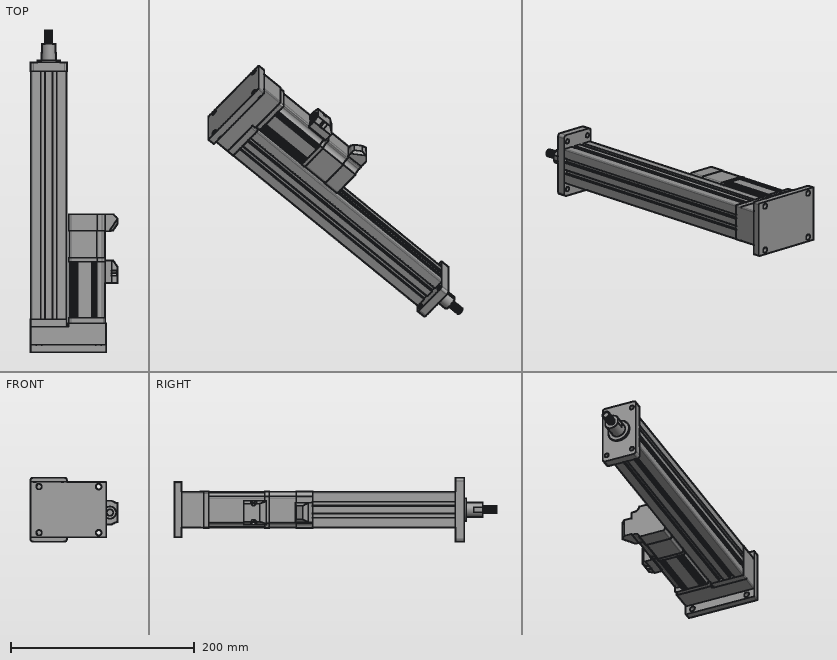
import cadquery as cq
import math


total_length = 351.0
plate_thickness = 8.0
cap_start = 28.0
gear_face = 32.0
body_start = 36.0
flange_back = 306.0
flange_front = 316.0
collar_front = 318.0
rod_front = 336.0

body_width = 39.3
cap_width = 39.5
flange_width = 40.0
flange_height = 70.0
flange_corner_radius = 3.0
flange_hole_x = 15.0
flange_hole_z = 27.5
flange_hole_diameter = 5.0
edge_radius = 1.0
groove_inner = 4.0
groove_outer = 8.8
groove_depth = 3.0
groove_lip = 0.7
collar_diameter = 25.0
rod_diameter = 16.0
rod_across_flats = 15.0
rod_flat_length = 10.0
thread_diameter = 8.0
thread_depth = 0.7
thread_count = 12

housing_left = -flange_width / 2
plate_width = 83.0
plate_height = 60.5
plate_hole_diameter = 6.0
plate_hole_spacing_x = 65.0
plate_hole_spacing_z = 50.2
plate_hole_inset = 9.5
housing_width = 82.5
step_x = 21.5

motor_center_x = 41.8
motor_width = 40.0
motor_edge_radius = 2.0
motor_flange_end = 37.5
fin_end = 98.5
band_end = 103.2
encoder_start = 132.7
motor_end = 150.5
section_inset = 0.5
cove_radius = 5.3
cove_end_x = 58.0
ledge_edge_radius = 1.5
fin_groove_width = 1.0
fin_groove_pitch = 2.0
fin_groove_depth = 1.0
fin_bank_starts = (24.2, 47.0)
fin_grooves_per_bank = 4

connector_root_x = 59.5
connector_tip_x = 75.0
connector_shoulder_x = 70.2
power_side_slope_x = 68.5
connector_z = -3.0
power_start = 75.5
power_end = 100.0
power_slope_end = 93.0
power_half_height = 13.0
power_tip_half_height = 10.0
encoder_half_height = 10.5
encoder_bevel = 3.0
encoder_plug_start = 131.5
encoder_heel_x = 66.0
encoder_slant_end = 140.0
encoder_slope_start = 145.5
notch_start = 83.2
notch_end = 89.5
notch_depth = 3.5
cable_x = 66.7
cable_hole_diameter = 7.0
cable_recess_diameter = 13.5
cable_recess_depth = 1.0
cable_hole_depth = 5.3


def block(x_min, x_max, y_min, y_max, z_min, z_max):
    """Axis-aligned box given by its limits."""
    size = (x_max - x_min, y_max - y_min, z_max - z_min)
    return cq.Workplane("XY").box(*size, centered=False).translate((x_min, y_min, z_min))


def bar(x_center, width, height, y_min, y_max, radius):
    """Rectangular bar along Y, centred on Z = 0, with rounded long edges."""
    x_min = x_center - width / 2
    solid = block(x_min, x_min + width, y_min, y_max, -height / 2, height / 2)
    return solid.edges("|Y").fillet(radius)


def rod(x, z, diameter, y_min, y_max):
    """Round bar along Y."""
    disc = cq.Workplane("XZ", origin=(x, y_min, z)).circle(diameter / 2)
    return disc.extrude(-(y_max - y_min))


def make_body():
    """Cylinder profile with two lengthwise grooves in each of its four sides."""
    body = bar(0, body_width, body_width, body_start, flange_back, edge_radius)
    top = body_width / 2
    floor = top - groove_depth
    for side in (-1, 1):
        outline = [
            (side * groove_inner, top),
            (side * (groove_inner + groove_lip), top - groove_lip),
            (side * (groove_inner + groove_lip), floor),
            (side * groove_outer, floor),
            (side * groove_outer, top),
        ]
        groove = cq.Workplane("XZ", origin=(0, body_start, 0)).polyline(outline).close()
        groove = groove.extrude(-(flange_back - body_start))
        for turn in range(4):
            body = body.cut(groove.rotate((0, 0, 0), (0, 1, 0), turn * 90))
    return body


def make_flange():
    """Front flange with four corner holes."""
    flange = bar(0, flange_width, flange_height, flange_back, flange_front, flange_corner_radius)
    for x in (-flange_hole_x, flange_hole_x):
        for z in (-flange_hole_z, flange_hole_z):
            flange = flange.cut(rod(x, z, flange_hole_diameter, flange_back, flange_front))
    return flange


def make_rod():
    """Guide collar, piston rod with two wrench flats, and threaded tip with ring grooves."""
    collar = rod(0, 0, collar_diameter, flange_front, collar_front)
    piston = rod(0, 0, rod_diameter, collar_front, rod_front)
    flat_start = rod_front - rod_flat_length
    reach = rod_diameter
    for side in (-1, 1):
        x_limits = sorted((side * rod_across_flats / 2, side * reach))
        piston = piston.cut(block(*x_limits, flat_start, rod_front, -reach, reach))

    crest = thread_diameter / 2
    pitch = (total_length - rod_front) / thread_count
    outline = [(0, rod_front), (crest, rod_front)]
    for turn in range(thread_count):
        turn_start = rod_front + turn * pitch
        outline.append((crest - thread_depth, turn_start + pitch / 2))
        outline.append((crest, turn_start + pitch))
    outline.append((0, total_length))
    thread = cq.Workplane("XY").polyline(outline).close().revolve(360, (0, 0, 0), (0, 1, 0))
    return collar.union(piston).union(thread)


def make_rear():
    """Rear plate with four holes, gear housing, and cylinder end cap."""
    plate_center = housing_left + plate_width / 2
    plate = bar(plate_center, plate_width, plate_height, 0, plate_thickness, edge_radius)
    hole_z = plate_hole_spacing_z / 2
    hole_left = housing_left + plate_hole_inset
    for x in (hole_left, hole_left + plate_hole_spacing_x):
        for z in (-hole_z, hole_z):
            plate = plate.cut(rod(x, z, plate_hole_diameter, 0, plate_thickness))

    housing = bar(plate_center, housing_width, body_width, plate_thickness, gear_face, edge_radius)
    housing = housing.cut(block(housing_left, step_x, cap_start, gear_face, -body_width, body_width))
    cap = bar(0, cap_width, cap_width, cap_start, body_start, edge_radius)
    return plate.union(housing).union(cap)


def make_motor_section(y_min, y_max, inset):
    """Length of motor with a cove and a flat ledge along both of its +X edges."""
    left = motor_center_x - motor_width / 2 + inset
    right = motor_center_x + motor_width / 2 - inset
    top = motor_width / 2 - inset
    radius = cove_radius + inset
    ledge = motor_width / 2 - radius
    core = block(left, cove_end_x, y_min, y_max, -top, top)
    core = core.edges("|Y and <X").fillet(motor_edge_radius)
    side = block(cove_end_x - radius, right, y_min, y_max, -ledge, ledge)
    side = side.edges("|Y and >X").fillet(ledge_edge_radius)
    section = core.union(side)
    for z in (-motor_width / 2, motor_width / 2):
        section = section.cut(rod(cove_end_x, z, 2 * radius, y_min, y_max))
    return section


def make_motor():
    """Mounting flange, finned motor, band, brake and encoder housing in line along Y."""
    flange = bar(motor_center_x, motor_width, motor_width, gear_face, motor_flange_end, motor_edge_radius)
    finned = make_motor_section(motor_flange_end, fin_end, section_inset)
    top = motor_width / 2 - section_inset
    for bank_start in fin_bank_starts:
        for index in range(fin_grooves_per_bank):
            x = bank_start + index * fin_groove_pitch
            groove = block(x, x + fin_groove_width, motor_flange_end, fin_end, top - fin_groove_depth, top)
            finned = finned.cut(groove).cut(groove.mirror("XY"))
    band = make_motor_section(fin_end, band_end, 0)
    brake = make_motor_section(band_end, encoder_start, section_inset)
    encoder = make_motor_section(encoder_start, motor_end, 0)
    return flange.union(finned).union(band).union(brake).union(encoder)


def make_power_connector():
    """Connector with sloped sides, a V notch in each slope, and a cable hole facing -Y."""
    outline = [
        (connector_root_x, power_start),
        (connector_tip_x, power_start),
        (connector_tip_x, power_slope_end),
        (connector_shoulder_x, power_end),
        (connector_root_x, power_end),
    ]
    connector = cq.Workplane("XY").polyline(outline).close().extrude(power_half_height, both=True)

    slope_run = connector_tip_x - power_side_slope_x
    slope_drop = power_half_height - power_tip_half_height
    notch_center = (notch_start + notch_end) / 2
    notch_half_width = (notch_end - notch_start) / 2
    corner = (
        cq.Workplane("XZ", origin=(0, power_start, 0))
        .moveTo(power_side_slope_x, power_half_height)
        .lineTo(connector_tip_x, power_half_height)
        .lineTo(connector_tip_x, power_tip_half_height)
        .close()
        .extrude(-(power_end - power_start))
    )
    slope_plane = cq.Plane(
        origin=(power_side_slope_x, notch_center, power_half_height),
        xDir=(0, 1, 0),
        normal=(slope_run, 0, -slope_drop),
    )
    notch = (
        cq.Workplane(slope_plane)
        .moveTo(-notch_half_width, 0)
        .lineTo(0, -notch_depth)
        .lineTo(notch_half_width, 0)
        .close()
        .extrude(math.hypot(slope_run, slope_drop))
    )
    for cutter in (corner, notch):
        connector = connector.cut(cutter).cut(cutter.mirror("XY"))

    recess_end = power_start + cable_recess_depth
    hole_end = power_start + cable_hole_depth
    connector = connector.cut(rod(cable_x, 0, cable_recess_diameter, power_start, recess_end))
    connector = connector.cut(rod(cable_x, 0, cable_hole_diameter, recess_end, hole_end))
    return connector.translate((0, 0, connector_z))


def make_encoder_connector():
    """Angled connector whose slanted cable face has bevelled long edges."""
    outline = [
        (connector_root_x, encoder_plug_start),
        (encoder_heel_x, encoder_plug_start),
        (connector_shoulder_x, encoder_start),
        (connector_tip_x, encoder_slant_end),
        (connector_tip_x, encoder_slope_start),
        (connector_shoulder_x, motor_end),
        (connector_root_x, motor_end),
    ]
    connector = cq.Workplane("XY").polyline(outline).close().extrude(encoder_half_height, both=True)
    slant_x = (connector_shoulder_x + connector_tip_x) / 2
    slant_y = (encoder_start + encoder_slant_end) / 2
    for z in (-encoder_half_height, encoder_half_height):
        slant_edge = cq.selectors.NearestToPointSelector((slant_x, slant_y, z))
        connector = connector.edges(slant_edge).chamfer(encoder_bevel)
    return connector.translate((0, 0, connector_z))


result = make_body()
for component in (
    make_flange(),
    make_rod(),
    make_rear(),
    make_motor(),
    make_power_connector(),
    make_encoder_connector(),
):
    result = result.union(component)